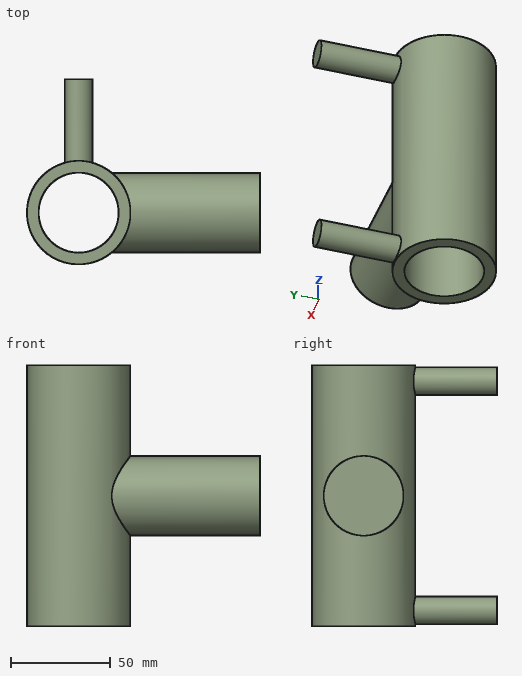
import cadquery as cq

tube_outer_diameter = 52.0
tube_bore_diameter = 40.0
tube_height = 131.0

branch_diameter = 40.0
branch_reach = 91.0

pin_diameter = 14.0
pin_reach = 67.0
pin_end_offset = 8.0


def make_tube_body():
    """Solid outer cylinder of the main tube."""
    return cq.Workplane("XY").circle(tube_outer_diameter / 2).extrude(tube_height)


def make_rod(direction, height, diameter, reach):
    """Horizontal cylinder from the tube axis outward at the given height."""
    start_plane = cq.Plane(origin=(0, 0, height), xDir=(0, 0, 1), normal=direction)
    return cq.Workplane(start_plane).circle(diameter / 2).extrude(reach)


def make_bore():
    """Through bore of the main tube, which also trims the inner rod ends."""
    return cq.Workplane("XY").circle(tube_bore_diameter / 2).extrude(tube_height)


body = make_tube_body()
body = body.union(make_rod((1, 0, 0), tube_height / 2, branch_diameter, branch_reach))
for pin_height in (pin_end_offset, tube_height - pin_end_offset):
    body = body.union(make_rod((0, 1, 0), pin_height, pin_diameter, pin_reach))

result = body.cut(make_bore())